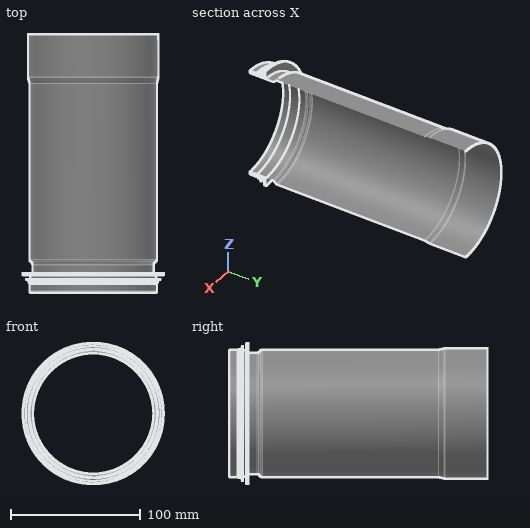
import cadquery as cq

LENGTH = 200.5
Y_NOSE = -LENGTH / 2
WALL = 0.5
MATCH_GAP = 0.02

BARREL_R = 99.0 / 2
SOCKET_R = 101.3 / 2
NECK_R = 94.2 / 2
BORE_R = NECK_R - WALL

NOSE_FLAT = 0.05
SPIGOT_LENGTH = 6.8
NECK_END = 22.7
SHOULDER_LENGTH = BARREL_R - NECK_R
SHOULDER_BEND = 1.6
SOCKET_DEPTH = 33.5
SOCKET_TAPER = 4.6
SOCKET_BEND = 1.6

FLANGE_R = 109.5 / 2
LIP_R = 104.5 / 2
BEAD_R = 100.2 / 2
SEAL_BODY_R = 98.0 / 2
FLANGE_TOP = 15.5
FLANGE_THICKNESS = 2.0
FLANGE_BEVEL = 0.6
LIP_TOP = 10.8
LIP_EDGE = 0.6
LIP_HEIGHT = 1.5
BEAD_TOP = 9.2
BEAD_BOTTOM = 8.0


def turn(points):
    """Turn a closed (radius, distance from nose) outline about the Y axis."""
    outline = [(radius, Y_NOSE + distance) for radius, distance in points]
    return cq.Workplane("XY").polyline(outline).close().revolve(360, (0, 0, 0), (0, 1, 0))


def round_ring(body, radius, distance, fillet):
    """Fillet the circular edge of the given radius and distance from the nose."""
    def matches(edge):
        at_height = abs(edge.Center().y - Y_NOSE - distance) < MATCH_GAP
        return edge.geomType() == "CIRCLE" and at_height and abs(edge.radius() - radius) < MATCH_GAP

    return body.newObject([edge for edge in body.edges().vals() if matches(edge)]).fillet(fillet)


def make_pipe():
    """Thin pipe with a wide socket, a narrow neck and a thick spigot end."""
    barrel_start = NECK_END + SHOULDER_LENGTH
    socket_start = LENGTH - SOCKET_DEPTH
    barrel_end = socket_start - SOCKET_TAPER
    pipe_body = turn([
        (BORE_R, 0),
        (BARREL_R, 0),
        (BARREL_R, SPIGOT_LENGTH),
        (NECK_R, SPIGOT_LENGTH),
        (NECK_R, NECK_END),
        (BARREL_R, barrel_start),
        (BARREL_R, barrel_end),
        (SOCKET_R, socket_start),
        (SOCKET_R, LENGTH),
        (SOCKET_R - WALL, LENGTH),
        (SOCKET_R - WALL, socket_start),
        (BARREL_R - WALL, barrel_end),
        (BARREL_R - WALL, barrel_start),
        (BORE_R, NECK_END),
    ])

    bends = [
        (NECK_R, NECK_END, SHOULDER_BEND),
        (BORE_R, NECK_END, SHOULDER_BEND + WALL),
        (BARREL_R, barrel_start, SHOULDER_BEND + WALL),
        (BARREL_R - WALL, barrel_start, SHOULDER_BEND),
        (SOCKET_R, socket_start, SOCKET_BEND + WALL),
        (SOCKET_R - WALL, socket_start, SOCKET_BEND),
    ]
    nose_round = (BARREL_R - BORE_R - NOSE_FLAT) / 2
    rounds = [(BORE_R, 0, nose_round), (BARREL_R, 0, nose_round)]
    for radius, distance, fillet in bends + rounds:
        pipe_body = round_ring(pipe_body, radius, distance, fillet)
    return pipe_body


def make_seal():
    """Seal ring on the neck: a flange, a tapered lip and a bead against the spigot."""
    flange_bottom = FLANGE_TOP - FLANGE_THICKNESS
    lip_bottom = LIP_TOP - LIP_HEIGHT
    return turn([
        (NECK_R, SPIGOT_LENGTH),
        (SEAL_BODY_R, SPIGOT_LENGTH),
        (SEAL_BODY_R, BEAD_BOTTOM),
        (BEAD_R, BEAD_BOTTOM),
        (BEAD_R, BEAD_TOP),
        (SEAL_BODY_R, BEAD_TOP),
        (SEAL_BODY_R, lip_bottom),
        (LIP_R, LIP_TOP - LIP_EDGE),
        (LIP_R, LIP_TOP),
        (SEAL_BODY_R, LIP_TOP),
        (SEAL_BODY_R, flange_bottom),
        (FLANGE_R - FLANGE_BEVEL, flange_bottom),
        (FLANGE_R, flange_bottom + FLANGE_BEVEL),
        (FLANGE_R, FLANGE_TOP),
        (NECK_R, FLANGE_TOP),
    ])


pipe = make_pipe()
seal = make_seal()
result = cq.Compound.makeCompound([pipe.val(), seal.val()])